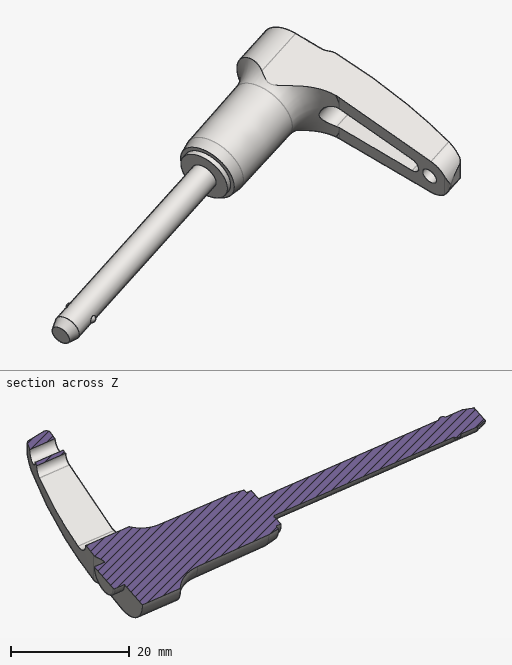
import cadquery as cq
import math

total_length = 74.4

pin_radius = 2.45
tip_radius = 1.8
tip_chamfer_length = 1.9
ball_radius = 0.75
ball_reach = 2.9
ball_y = 5.95

collar_radius = 4.8
collar_y = 42.3
sleeve_end_radius = 5.5
sleeve_end_y = 43.25
sleeve_taper_radius = 5.9
sleeve_taper_y = 45.4
sleeve_top_radius = 6.0
flare_y = 59.6
flare_radius = 6.0
flare_edge = sleeve_top_radius + flare_radius
flare_top_y = flare_y + flare_radius

handle_left = -8.9
handle_right = 35.2
hub_radius = 12.7 / 2
end_radius = 8.1 / 2
hub_x = handle_left + hub_radius
end_x = handle_right - end_radius

hub_top_y = 72.3
flare_overlap = 1.5
hump_start_x = 3.2
hump_x = 5.6
hump_y = 73.0
back_mid = (19.05, 71.8)
back_end = (34.6, 68.25)
underside_end_y = 63.55
underside_angle = math.radians(4.8)
bar_end_x = 35.35
handle_corner_radius = 0.75

slot_wide_x = 10.8
slot_wide_radius = 2.5
slot_narrow_x = 27.25
slot_narrow_radius = 1.5
hole_radius = 1.5

button_radius = 3.2
button_edge_radius = 0.2


def tapered_slot(x1, r1, x2, r2):
    """Outline of two circles on the X axis joined by their outer tangents."""
    lean = (r1 - r2) / (x2 - x1)
    rise = math.sqrt(1 - lean**2)
    first = (x1 + r1 * lean, r1 * rise)
    second = (x2 + r2 * lean, r2 * rise)
    return (
        cq.Workplane("XZ")
        .moveTo(*first)
        .lineTo(*second)
        .threePointArc((x2 + r2, 0), (second[0], -second[1]))
        .lineTo(first[0], -first[1])
        .threePointArc((x1 - r1, 0), first)
        .close()
    )


def along_pin(outline):
    """Extrude an XZ outline over the full length, toward +Y."""
    return outline.extrude(-total_length)


def turned_body():
    """Pin, collar, sleeve and flare, revolved about the pin axis."""
    diagonal = flare_radius * math.sqrt(0.5)
    return (
        cq.Workplane("XY")
        .lineTo(tip_radius, 0)
        .lineTo(pin_radius, tip_chamfer_length)
        .lineTo(pin_radius, collar_y)
        .lineTo(collar_radius, collar_y)
        .lineTo(collar_radius, sleeve_end_y)
        .lineTo(sleeve_end_radius, sleeve_end_y)
        .lineTo(sleeve_taper_radius, sleeve_taper_y)
        .lineTo(sleeve_top_radius, flare_y)
        .threePointArc((flare_edge - diagonal, flare_y + diagonal), (flare_edge, flare_top_y))
        .lineTo(flare_edge, flare_top_y + flare_overlap)
        .lineTo(0, flare_top_y + flare_overlap)
        .close()
        .revolve(360, (0, 0, 0), (0, 1, 0))
    )


def handle_bar():
    """Side profile of the handle, wide enough in Z to be trimmed by its outline."""
    flare_tangent = (
        flare_edge - flare_radius * math.sin(underside_angle),
        flare_y + flare_radius * math.cos(underside_angle),
    )
    axis_y = flare_tangent[1] + flare_tangent[0] * math.tan(underside_angle)
    hump_mid = ((hump_start_x + hump_x) / 2, (hub_top_y + hump_y) / 2)
    bar = (
        cq.Workplane("XY")
        .moveTo(handle_left, flare_top_y)
        .lineTo(handle_left, hub_top_y)
        .lineTo(hump_start_x, hub_top_y)
        .spline([hump_mid, (hump_x, hump_y)], tangents=[(1, 0), (1, 0)], includeCurrent=True)
        .threePointArc(back_mid, back_end)
        .lineTo(bar_end_x, underside_end_y)
        .lineTo(*flare_tangent)
        .lineTo(0, axis_y)
        .lineTo(0, flare_top_y)
        .close()
        .extrude(hub_radius, both=True)
    )
    tip_region = cq.selectors.BoxSelector(
        (end_x, 0, -hub_radius), (total_length, total_length, hub_radius)
    )
    return bar.edges("|Z").edges(tip_region).fillet(handle_corner_radius)


def push_button():
    return (
        cq.Workplane("XZ", origin=(0, hub_top_y, 0))
        .circle(button_radius)
        .extrude(hub_top_y - total_length)
        .faces(">Y")
        .edges()
        .fillet(button_edge_radius)
    )


handle_outline = along_pin(tapered_slot(hub_x, hub_radius, end_x, end_radius))
slot = along_pin(tapered_slot(slot_wide_x, slot_wide_radius, slot_narrow_x, slot_narrow_radius))
hole = along_pin(cq.Workplane("XZ").center(end_x, 0).circle(hole_radius))

result = turned_body().union(handle_bar()).intersect(handle_outline)
result = result.cut(slot).cut(hole).union(push_button())

ball_center_x = ball_reach - ball_radius
for side in (-1, 1):
    ball = cq.Workplane("XY").sphere(ball_radius)
    result = result.union(ball.translate((side * ball_center_x, ball_y, 0)))